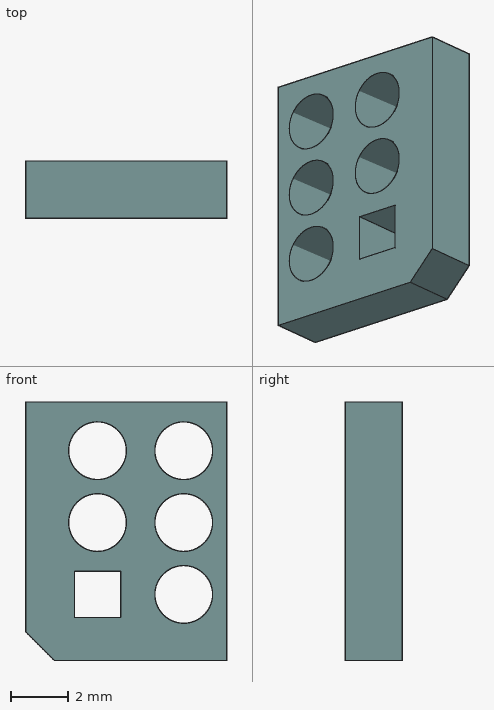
import cadquery as cq

width = 7.0
thickness = 2.0
height = 9.0
corner_chamfer = 1.0

hole_diameter = 2.0
square_side = 1.6
left_column_x = 2.5
column_pitch = 3.0
bottom_row_z = 2.3
row_pitch = 2.5
column_count = 2
row_count = 3
square_cell = (0, 0)


def make_plate():
    """Rectangular plate with its lower left corner cut off."""
    plate = cq.Workplane("XY").box(width, thickness, height, centered=False)
    return plate.edges("|Y").edges("<X and <Z").chamfer(corner_chamfer)


def make_opening(column, row):
    """Through-cutter for one grid cell: square in the key cell, round elsewhere."""
    x = left_column_x + column * column_pitch
    z = bottom_row_z + row * row_pitch
    sketch = cq.Workplane("XZ").center(x, z)
    if (column, row) == square_cell:
        profile = sketch.rect(square_side, square_side)
    else:
        profile = sketch.circle(hole_diameter / 2)
    return profile.extrude(-thickness)


result = make_plate()
for column in range(column_count):
    for row in range(row_count):
        result = result.cut(make_opening(column, row))